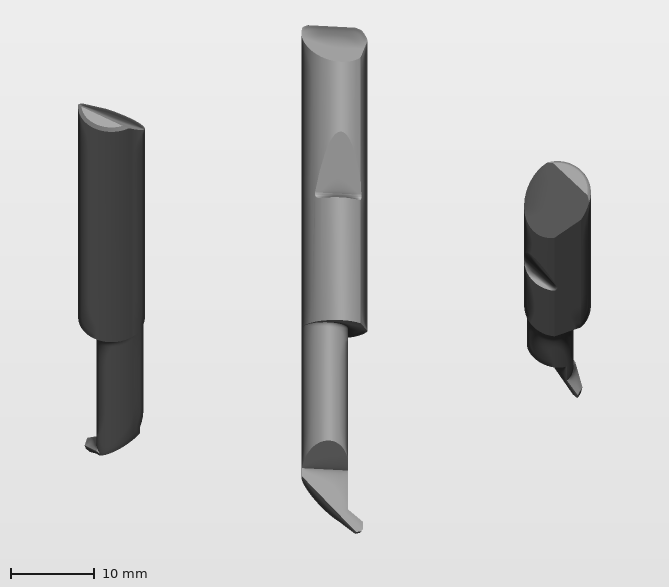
import cadquery as cq
import math

length = 63.2
shank_radius = 4.0
shank_bottom = 25.0
neck_radius = 2.8
neck_x = shank_radius - neck_radius

end_chamfer = 0.4
bevel_start_y = -2.15
flat_start_angle = 130.0
flat_end_angle = 180.0
notch_top = 48.4
notch_low = 41.05
notch_bottom = 40.25
notch_floor_y = 2.7
notch_radius = 0.6

relief_z = 7.6
underside_x = -2.6
tip_x = -3.4
tip_top = 1.3
tip_bottom = 0.4
nose_corner_x = -3.15
nose_corner_z = 0.1
shelf_z = 2.85
flank_point = (-3.3, -1.15, 1.4)
flank_normal = (-0.24, -1.0, -0.4)
rake_normal = (-0.8, -0.3, 1.0)
nose_normal = (-1.0, -0.3, 0.0)

cutter_size = 25.25


def prism_along_x(points):
    """Wide prism across X from (Y, Z) points."""
    return cq.Workplane("YZ").polyline(points).close().extrude(cutter_size / 2, both=True)


def half_space(point, normal):
    """Large block on the side of the plane that the normal points to."""
    plane = cq.Plane(origin=point, normal=normal)
    return cq.Workplane(plane).box(
        cutter_size, cutter_size, cutter_size, centered=(True, True, False)
    )


def make_shank():
    height = length - shank_bottom
    shank = cq.Workplane("XY").workplane(offset=shank_bottom).circle(shank_radius).extrude(height)
    shank = shank.faces(">Z").chamfer(end_chamfer)

    bevel_drop = shank_radius - bevel_start_y
    bevel = prism_along_x([
        (bevel_start_y, length),
        (shank_radius, length - bevel_drop),
        (shank_radius, length),
    ])

    half_span = math.radians(flat_end_angle - flat_start_angle) / 2
    flat_distance = shank_radius * math.cos(half_span)
    flat_direction = (flat_start_angle + flat_end_angle) / 2
    flat_cutter = (
        cq.Workplane("XY")
        .workplane(offset=shank_bottom)
        .transformed(rotate=(0, 0, flat_direction))
        .center(flat_distance + shank_radius, 0)
        .rect(2 * shank_radius, 4 * shank_radius)
        .extrude(height)
    )

    notch = prism_along_x([
        (shank_radius, notch_top),
        (notch_floor_y, notch_low),
        (notch_floor_y, notch_bottom),
        (shank_radius, notch_bottom),
    ])
    notch = notch.edges("|X and <Y and <Z").fillet(notch_radius)
    return shank.cut(flat_cutter).cut(bevel).cut(notch)


def make_neck():
    neck = cq.Workplane("XY").center(neck_x, 0).circle(neck_radius).extrude(shank_bottom)
    run_out = prism_along_x([
        (0, 0),
        (0, relief_z),
        (shank_radius, relief_z + shank_radius),
        (shank_radius, 0),
    ])
    underside = (
        cq.Workplane("XZ")
        .polyline([
            (underside_x, 0),
            (shank_radius, shank_radius - underside_x),
            (shank_radius, 0),
        ])
        .close()
        .extrude(cutter_size / 2, both=True)
    )
    return neck.cut(run_out).cut(underside)


def make_arm():
    arm = (
        cq.Workplane("XZ")
        .polyline([
            (neck_x - neck_radius, shelf_z),
            (tip_x, tip_top),
            (tip_x, tip_bottom),
            (nose_corner_x, nose_corner_z),
            (underside_x, 0),
            (underside_x + shelf_z, shelf_z),
        ])
        .close()
        .extrude(neck_radius)
    )
    arm = arm.cut(half_space(flank_point, flank_normal))
    arm = arm.cut(half_space((tip_x, 0, tip_top), rake_normal))
    return arm.cut(half_space((tip_x, 0, tip_bottom), nose_normal))


result = make_shank().union(make_neck()).union(make_arm())